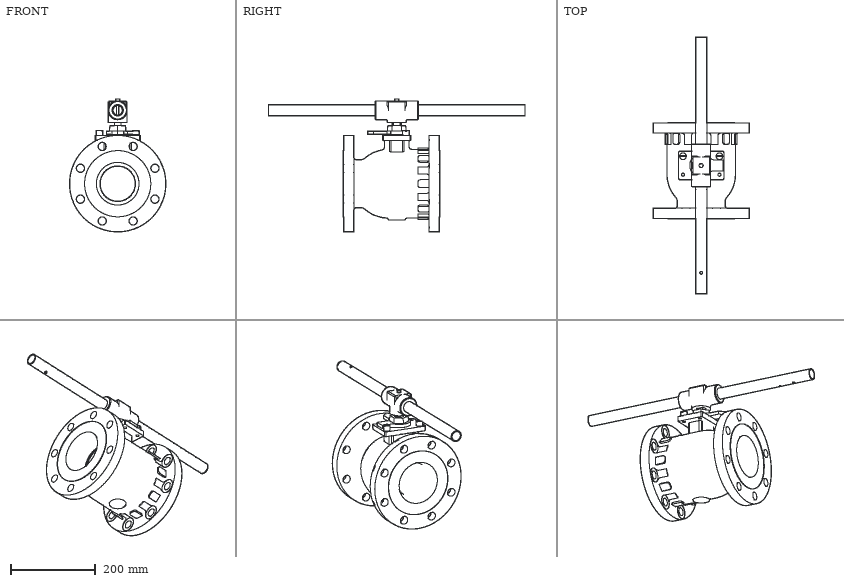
import cadquery as cq
import math


flange_r = 114.0
flange_thickness = 24.5
raised_face_r = 78.5
raised_face_height = 1.5
front_face_y = -127.0
back_face_y = 102.0
shell_r = 81.5
sphere_y = -21.0
neck_r = 57.0
neck_sphere_blend_r = 12.0
flange_blend_r = 5.5

port_r = 50.5
bore_r = 41.5
taper_end_y = 70.5
seat_groove_r = 43.0
seat_groove_start_y = -67.5
seat_groove_end_y = -64.0

bolt_count = 8
bolt_circle_r = 95.5
bolt_hole_d = 19.0
spotface_d = 34.0
spotface_depth = 0.9

boss_face_r = 85.0
boss_width = 19.0
boss_end_y = 50.0
boss_corner_r = 6.0

pad_d = 40.0
pad_bottom_z = -86.5
pad_blend_r = 4.0

plate_length = 108.0
plate_width = 68.0
plate_top_z = 114.0
plate_edge_height = 8.5
plate_draft_height = 3.5
plate_draft = 15
plate_corner = 2.5
stem_neck_d = 58.5
stem_neck_blend_r = 6.5
stem_neck_top_blend_r = 3.0
lug_half_length = 33.0
lug_width = 35.0
lug_corner = 4.0
collar_d = 34.0
collar_top_z = 117.0
plate_hole_d = 7.0
plate_hole_x = 43.0
plate_hole_y = 22.0

stem_d = 22.0
stem_flat_width = 16.0
stem_bottom_z = 73.0
stem_top_z = 158.0
nut_across_flats = 39.0
nut_height = 13.0
nut_bevel_height = 6.0
nut_bevel = 1.0

stop_thickness = 8.0
stop_disc_d = 54.0
stop_arm_half_width = 13.5
stop_side_reach = 51.0
stop_tip_reach = 69.0
stop_blend_r = 15.0

handle_z = 174.0
hub_r = 22.5
hub_length = 102.0
hub_end_chamfer = 2.0
hub_saddle_blend_r = 3.0
hub_bottom_z = 145.0
hub_block_length = 45.5
hub_block_drop = 0.25
hub_block_chamfer = 3.0
tube_length = 608.0
tube_d = 27.0
tube_bore_d = 22.0
tube_hole_d = 6.0
tube_hole_y = -254.0
clamp_head_d = 10.0
clamp_head_top_z = 200.5
clamp_shank_d = 6.0
clamp_bottom_z = 151.0

screw_head_d = 16.0
screw_head_height = 12.0
screw_slot_width = 2.5
screw_slot_depth = 2.5

joint_margin = 1.0

root_r = 61.0

plate_bottom_z = plate_top_z - plate_edge_height - plate_draft_height
stop_top_z = collar_top_z + stop_thickness
nut_top_z = stop_top_z + nut_height
hub_block_top_z = handle_z + hub_r - hub_block_drop
front_flange_y = front_face_y + raised_face_height
back_flange_y = back_face_y - raised_face_height
front_flange_inner_y = front_flange_y + flange_thickness
back_flange_inner_y = back_flange_y - flange_thickness


def z_cylinder(diameter, bottom_z, top_z, x=0, y=0):
    return cq.Workplane("XY", origin=(x, y, bottom_z)).circle(diameter / 2).extrude(top_z - bottom_z)


def y_cylinder(diameter, start_y, end_y, x=0, z=0):
    return cq.Workplane("XZ", origin=(x, start_y, z)).circle(diameter / 2).extrude(start_y - end_y)


def bolt_positions():
    """Bolt centres in X and Z, straddling the axes."""
    step = 2 * math.pi / bolt_count
    angles = [(i + 0.5) * step for i in range(bolt_count)]
    return [(bolt_circle_r * math.cos(a), bolt_circle_r * math.sin(a)) for a in angles]


def point_on_circle(centre, radius, angle):
    return (centre[0] + radius * math.cos(angle), centre[1] + radius * math.sin(angle))


def turned_shell():
    """Flanges, neck, spherical end and cylinder, with the flow bore, turned about Y."""
    blend_x = neck_r + neck_sphere_blend_r
    blend_dy = math.sqrt((shell_r + neck_sphere_blend_r) ** 2 - blend_x ** 2)
    blend_centre = (blend_x, sphere_y - blend_dy)
    contact_angle = math.atan2(-blend_dy, blend_x)
    contact = point_on_circle((0, sphere_y), shell_r, contact_angle)
    blend_mid_angle = math.pi + contact_angle / 2

    front_blend_centre = (neck_r + flange_blend_r, front_flange_inner_y + flange_blend_r)
    back_blend_centre = (shell_r + flange_blend_r, back_flange_inner_y - flange_blend_r)

    return (
        cq.Workplane("XY")
        .moveTo(port_r, front_face_y)
        .lineTo(raised_face_r, front_face_y)
        .lineTo(raised_face_r, front_flange_y)
        .lineTo(flange_r, front_flange_y)
        .lineTo(flange_r, front_flange_inner_y)
        .lineTo(front_blend_centre[0], front_flange_inner_y)
        .threePointArc(
            point_on_circle(front_blend_centre, flange_blend_r, math.radians(225)),
            (neck_r, front_blend_centre[1]),
        )
        .lineTo(neck_r, blend_centre[1])
        .threePointArc(point_on_circle(blend_centre, neck_sphere_blend_r, blend_mid_angle), contact)
        .threePointArc(
            point_on_circle((0, sphere_y), shell_r, contact_angle / 2),
            (shell_r, sphere_y),
        )
        .lineTo(shell_r, back_blend_centre[1])
        .threePointArc(
            point_on_circle(back_blend_centre, flange_blend_r, math.radians(135)),
            (back_blend_centre[0], back_flange_inner_y),
        )
        .lineTo(flange_r, back_flange_inner_y)
        .lineTo(flange_r, back_flange_y)
        .lineTo(raised_face_r, back_flange_y)
        .lineTo(raised_face_r, back_face_y)
        .lineTo(port_r, back_face_y)
        .lineTo(bore_r, taper_end_y)
        .lineTo(bore_r, -taper_end_y)
        .close()
        .revolve(360, (0, 0, 0), (0, 1, 0))
    )


def shell_bosses():
    """Flat-faced bosses with rounded ends, spaced between the bolts."""
    boss_length = back_flange_inner_y - boss_end_y
    boss = (
        cq.Workplane("XY")
        .box(boss_width, boss_length, boss_face_r - root_r, centered=(True, False, False))
        .translate((0, boss_end_y, root_r))
        .edges("|Z and <Y")
        .fillet(boss_corner_r)
    )
    return [boss.rotate((0, 0, 0), (0, 1, 0), i * 360 / bolt_count) for i in range(bolt_count)]


def stem_neck():
    """Round neck and the block that forms its two flat side lugs, both rooted in the shell wall."""
    neck = z_cylinder(stem_neck_d, root_r, plate_bottom_z)
    lug = (
        cq.Workplane("XY", origin=(0, 0, root_r))
        .rect(2 * lug_half_length, lug_width)
        .extrude(plate_bottom_z - root_r)
        .edges("|Z")
        .chamfer(lug_corner)
    )
    return neck, lug


def mounting_plate():
    """Plate with bevelled corners and a drafted lower edge."""
    upper = (
        cq.Workplane("XY", origin=(0, 0, plate_top_z - plate_edge_height))
        .rect(plate_length, plate_width)
        .extrude(plate_edge_height)
        .edges("|Z")
        .chamfer(plate_corner)
    )
    lower_outline = upper.faces("<Z").wires().toPending()
    lower = lower_outline.extrude(-plate_draft_height, taper=plate_draft, combine=False)
    return upper.union(lower)


def shell_joint(radius, side):
    """Selector for the edges where an upright cylinder meets the shell, above (1) or below (-1)."""
    top_z = shell_r + joint_margin
    bottom_z = math.sqrt(shell_r ** 2 - radius ** 2) - joint_margin
    reach = radius + joint_margin
    return cq.selectors.BoxSelector((-reach, -reach, side * bottom_z), (reach, reach, side * top_z))


def level_disc(radius, z):
    """Selector for edges centred on the stem axis at one level."""
    reach = radius + joint_margin
    low_corner = (-reach, -joint_margin, z - joint_margin)
    high_corner = (reach, joint_margin, z + joint_margin)
    return cq.selectors.BoxSelector(low_corner, high_corner)


def make_body():
    body = turned_shell()
    neck, lug = stem_neck()
    pad = z_cylinder(pad_d, pad_bottom_z, -root_r)
    body = body.union(neck).union(pad)
    body = body.edges(shell_joint(stem_neck_d / 2, 1)).fillet(stem_neck_blend_r)
    body = body.edges(shell_joint(pad_d / 2, -1)).fillet(pad_blend_r)
    body = body.union(mounting_plate())
    body = body.edges(level_disc(stem_neck_d / 2, plate_bottom_z)).fillet(stem_neck_top_blend_r)
    body = body.union(lug).union(z_cylinder(collar_d, plate_top_z, collar_top_z))
    for boss in shell_bosses():
        body = body.union(boss)
    for x, z in bolt_positions():
        body = body.cut(y_cylinder(bolt_hole_d, front_flange_y, front_flange_inner_y, x, z))
        body = body.cut(y_cylinder(bolt_hole_d, back_flange_inner_y, back_flange_y, x, z))
        body = body.cut(y_cylinder(spotface_d, boss_end_y, back_flange_inner_y + spotface_depth, x, z))
    for x in (-plate_hole_x, plate_hole_x):
        for y in (-plate_hole_y, plate_hole_y):
            body = body.cut(z_cylinder(plate_hole_d, plate_bottom_z, plate_top_z, x, y))
    body = body.cut(y_cylinder(2 * seat_groove_r, seat_groove_start_y, seat_groove_end_y))
    return body.cut(z_cylinder(stem_d, stem_bottom_z, collar_top_z))


def stem_drive():
    """Upper end of the stem, with two flats that face along X."""
    height = stem_top_z - nut_top_z
    flats = cq.Workplane("XY", origin=(0, 0, nut_top_z)).rect(stem_flat_width, stem_d).extrude(height)
    return z_cylinder(stem_d, nut_top_z, stem_top_z).intersect(flats)


def make_stem():
    """Round stem with two flats where it enters the hub, drilled for the clamp screw."""
    round_part = z_cylinder(stem_d, stem_bottom_z, nut_top_z)
    return round_part.union(stem_drive()).cut(z_cylinder(clamp_shank_d, clamp_bottom_z, stem_top_z))


def make_nut():
    """Hexagon nut with corners on the Y axis and bevelled upper sides."""
    straight_top_z = nut_top_z - nut_bevel_height
    across_corners = nut_across_flats / math.cos(math.pi / 6)
    bevel_angle = math.degrees(math.atan2(nut_bevel, nut_bevel_height))
    straight = (
        cq.Workplane("XY", origin=(0, 0, stop_top_z))
        .transformed(rotate=(0, 0, 90))
        .polygon(6, across_corners)
        .extrude(nut_height - nut_bevel_height)
    )
    bevelled = (
        cq.Workplane("XY", origin=(0, 0, straight_top_z))
        .transformed(rotate=(0, 0, 90))
        .polygon(6, across_corners)
        .extrude(nut_bevel_height, taper=bevel_angle)
    )
    return straight.union(bevelled).cut(z_cylinder(stem_d, stop_top_z, nut_top_z))


def make_stop_plate():
    """Disc with a square-ended arm along +X and a pointed arm along -Y, blended in the corners."""
    disc = z_cylinder(stop_disc_d, collar_top_z, stop_top_z)
    w = stop_arm_half_width
    arms = (
        cq.Workplane("XY", origin=(0, 0, collar_top_z))
        .moveTo(-w, 0)
        .lineTo(-w, w - stop_tip_reach)
        .lineTo(0, -stop_tip_reach)
        .lineTo(w, w - stop_tip_reach)
        .lineTo(w, -w)
        .lineTo(stop_side_reach, -w)
        .lineTo(stop_side_reach, w)
        .lineTo(-w, w)
        .close()
        .extrude(stop_thickness)
    )
    corner_blend = (
        cq.Workplane("XY", origin=(0, 0, collar_top_z))
        .moveTo(w, -w)
        .lineTo(w + stop_blend_r, -w)
        .radiusArc((w, -w - stop_blend_r), -stop_blend_r)
        .close()
        .extrude(stop_thickness)
    )
    centre_offset = w + stop_blend_r
    stop_disc_r = stop_disc_d / 2
    centre_reach = math.sqrt((stop_disc_r + stop_blend_r) ** 2 - centre_offset ** 2)
    contact_scale = stop_disc_r / (stop_disc_r + stop_blend_r)
    side_contact = (centre_reach * contact_scale, centre_offset * contact_scale)
    side_blend = (
        cq.Workplane("XY", origin=(0, 0, collar_top_z))
        .lineTo(*side_contact)
        .radiusArc((centre_reach, w), -stop_blend_r)
        .lineTo(centre_reach, 0)
        .close()
        .extrude(stop_thickness)
    )
    tip_blend = side_blend.mirror("XZ").rotate((0, 0, 0), (0, 0, 1), -90)
    plate = disc.union(arms).union(corner_blend).union(side_blend).union(tip_blend)
    return plate.cut(z_cylinder(stem_d, collar_top_z, stop_top_z))


def make_hub():
    """Crossed cylinders with a bevelled block on top, bored for tube, stem and clamp screw."""
    half = hub_length / 2
    sleeve = y_cylinder(2 * hub_r, -half, half, z=handle_z)
    sleeve = sleeve.faces("<Y or >Y").edges().chamfer(hub_end_chamfer)
    socket = z_cylinder(2 * hub_r, hub_bottom_z, handle_z)
    block = (
        cq.Workplane("XY", origin=(0, 0, handle_z))
        .rect(2 * hub_r, hub_block_length)
        .extrude(hub_block_top_z - handle_z)
        .edges("|Z or >Z")
        .chamfer(hub_block_chamfer)
    )
    saddle = sleeve.union(socket).edges("%ELLIPSE").fillet(hub_saddle_blend_r)
    hub = saddle.union(block)
    hub = hub.cut(y_cylinder(tube_d, -half, half, z=handle_z)).cut(stem_drive())
    hub = hub.cut(z_cylinder(clamp_head_d, hub_block_top_z, clamp_head_top_z))
    return hub.cut(z_cylinder(clamp_shank_d, clamp_bottom_z, hub_block_top_z))


def make_tube():
    """Handle tube, cross-drilled at the stem and near its front end."""
    half = tube_length / 2
    tube = y_cylinder(tube_d, -half, half, z=handle_z)
    tube = tube.cut(y_cylinder(tube_bore_d, -half, half, z=handle_z))
    for diameter, y in ((clamp_shank_d, 0), (tube_hole_d, tube_hole_y)):
        tube = tube.cut(z_cylinder(diameter, handle_z - tube_d, handle_z + tube_d, y=y))
    return tube


def make_clamp_screw():
    head = z_cylinder(clamp_head_d, hub_block_top_z, clamp_head_top_z)
    return head.union(z_cylinder(clamp_shank_d, clamp_bottom_z, hub_block_top_z))


def make_slotted_screw(x):
    """Slotted screw whose shank fills its plate hole."""
    head_top_z = plate_top_z + screw_head_height
    head = z_cylinder(screw_head_d, plate_top_z, head_top_z, x, plate_hole_y)
    shank = z_cylinder(plate_hole_d, plate_bottom_z, plate_top_z, x, plate_hole_y)
    slot = (
        cq.Workplane("XY", origin=(x, plate_hole_y, head_top_z))
        .rect(screw_head_d, screw_slot_width)
        .extrude(-screw_slot_depth)
    )
    return head.union(shank).cut(slot)


body = make_body()
stem = make_stem()
nut = make_nut()
stop_plate = make_stop_plate()
hub = make_hub()
tube = make_tube()
clamp_screw = make_clamp_screw()
slotted_screws = [make_slotted_screw(x) for x in (-plate_hole_x, plate_hole_x)]

result = cq.Compound.makeCompound(
    [
        body.solids().val(),
        stem.solids().val(),
        nut.solids().val(),
        stop_plate.solids().val(),
        hub.solids().val(),
        tube.solids().val(),
        clamp_screw.solids().val(),
        *[screw.solids().val() for screw in slotted_screws],
    ]
)